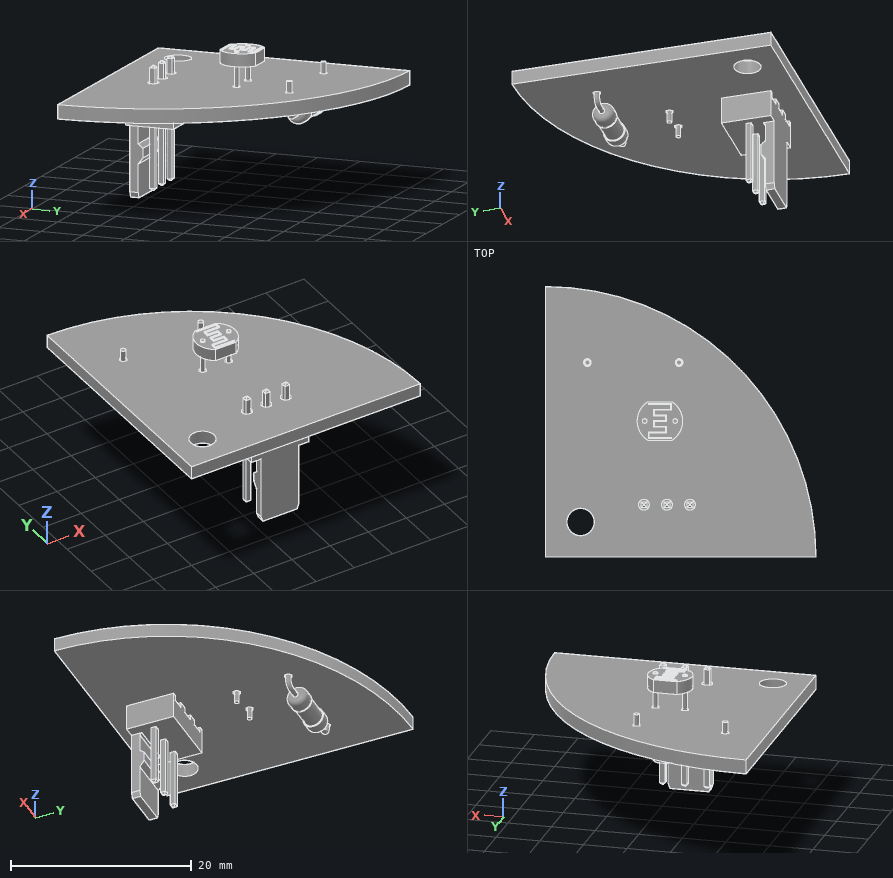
import cadquery as cq
import math

board_radius = 30.0
board_thickness = 1.65
mount_hole_diameter = 3.0
mount_hole_x = 3.9
mount_hole_y = 3.9
lead_hole_diameter = 0.8
pin_hole_diameter = 1.2
lead_overhang = 1.3

sensor_x = 12.7
sensor_y = 15.1
sensor_diameter = 5.05
sensor_width = 4.25
sensor_bottom = 4.08
sensor_height = 1.5
sensor_lead_diameter = 0.5
sensor_lead_spacing = 3.4
sensor_top = sensor_bottom + sensor_height

track_width = 0.1
track_height = 0.12
track_row_pitch = 0.63
track_long_reach = 1.23
track_short_reach = 0.65

resistor_y = 21.57
resistor_left_lead_x = 4.65
resistor_lead_spacing = 10.17
resistor_lead_diameter = 0.6
resistor_bend_radius = 0.85
resistor_length = 6.3
cap_diameter = 2.5
cap_length = 1.62
cap_rounding = 0.6
resistor_middle_diameter = 2.25
resistor_x = resistor_left_lead_x + resistor_lead_spacing / 2
resistor_z = -cap_diameter / 2

header_x = 13.47
header_y = 5.82
header_length = 7.53
header_depth = 5.73
header_height = 3.18
slot_width = 1.45
slot_depth = 0.63
pin_count = 3
pin_pitch = 2.55
pin_width = 0.63
pin_top = 3.6
pin_bottom = -10.6
pin_tip_height = 0.25
pin_tip_width = 0.15
tab_width = 4.95
tab_thickness = 1.02
tab_bottom = -11.7
tab_end_taper_height = 0.65
tab_end_taper_width = 0.25
tab_root_chamfer = 0.25
bump_height = 0.55
bump_base_top = -5.5
bump_crest_top = -5.97
bump_crest_bottom = -7.08
bump_base_bottom = -7.8

sensor_lead_points = [(sensor_x + side * sensor_lead_spacing / 2, sensor_y) for side in (-1, 1)]
resistor_lead_points = [(resistor_x + side * resistor_lead_spacing / 2, resistor_y) for side in (-1, 1)]
pin_points = [(header_x + (i - (pin_count - 1) / 2) * pin_pitch, header_y) for i in range(pin_count)]


def drill(board, points, diameter):
    """Cut round holes through the whole board."""
    holes = cq.Workplane("XY").pushPoints(points).circle(diameter / 2).extrude(board_thickness)
    return board.cut(holes)


def make_board():
    arc_middle = board_radius * math.sqrt(0.5)
    board = (
        cq.Workplane("XY")
        .lineTo(board_radius, 0)
        .threePointArc((arc_middle, arc_middle), (0, board_radius))
        .close()
        .extrude(board_thickness)
    )
    board = drill(board, [(mount_hole_x, mount_hole_y)], mount_hole_diameter)
    board = drill(board, sensor_lead_points + resistor_lead_points, lead_hole_diameter)
    return drill(board, pin_points, pin_hole_diameter)


def make_sensor():
    disc = (
        cq.Workplane("XY", origin=(sensor_x, sensor_y, sensor_bottom))
        .circle(sensor_diameter / 2)
        .extrude(sensor_height)
    )
    flats = cq.Workplane("XY", origin=(sensor_x, sensor_y, sensor_bottom)).box(
        sensor_diameter, sensor_width, sensor_height, centered=(True, True, False)
    )
    lead_tip = sensor_top + track_height
    leads = (
        cq.Workplane("XY", origin=(0, 0, -lead_overhang))
        .pushPoints(sensor_lead_points)
        .circle(sensor_lead_diameter / 2)
        .extrude(lead_tip + lead_overhang)
    )
    return disc.intersect(flats).union(leads)


def track_segment(x_start, y_start, x_end, y_end):
    """A straight strip between two points, reaching half a track width past each of them."""
    return cq.Workplane(
        "XY",
        origin=(sensor_x + (x_start + x_end) / 2, sensor_y + (y_start + y_end) / 2, sensor_top),
    ).box(
        abs(x_end - x_start) + track_width,
        abs(y_end - y_start) + track_width,
        track_height,
        centered=(True, True, False),
    )


def make_track():
    turns = [
        -track_long_reach,
        track_long_reach,
        -track_short_reach,
        track_short_reach,
        -track_short_reach,
        track_short_reach,
        -track_long_reach,
        track_long_reach,
    ]
    row_count = len(turns) - 1
    first_row_y = (row_count - 1) / 2 * track_row_pitch
    track = cq.Workplane("XY")
    for row in range(row_count):
        row_y = first_row_y - row * track_row_pitch
        track = track.union(track_segment(turns[row], row_y, turns[row + 1], row_y))
        if row < row_count - 1:
            next_row_y = row_y - track_row_pitch
            track = track.union(track_segment(turns[row + 1], row_y, turns[row + 1], next_row_y))
    return track


def rod_along_x(x_start, length, diameter):
    """A round rod on the resistor's axis."""
    return cq.Workplane("YZ", origin=(x_start, resistor_y, resistor_z)).circle(diameter / 2).extrude(length)


def make_resistor():
    left_end = resistor_x - resistor_length / 2
    right_end = resistor_x + resistor_length / 2
    middle = rod_along_x(left_end + cap_length, resistor_length - 2 * cap_length, resistor_middle_diameter)
    left_cap = rod_along_x(left_end, cap_length, cap_diameter).faces("<X").edges().fillet(cap_rounding)
    right_cap = rod_along_x(right_end, -cap_length, cap_diameter).faces(">X").edges().fillet(cap_rounding)

    left_x = resistor_left_lead_x
    right_x = left_x + resistor_lead_spacing
    lead_top = board_thickness + lead_overhang
    bend = resistor_bend_radius
    bend_inset = bend * (1 - math.sqrt(0.5))
    wire_path = (
        cq.Workplane("XZ", origin=(0, resistor_y, 0))
        .moveTo(left_x, lead_top)
        .lineTo(left_x, resistor_z + bend)
        .threePointArc((left_x + bend_inset, resistor_z + bend_inset), (left_x + bend, resistor_z))
        .lineTo(right_x - bend, resistor_z)
        .threePointArc((right_x - bend_inset, resistor_z + bend_inset), (right_x, resistor_z + bend))
        .lineTo(right_x, lead_top)
    )
    wire = (
        cq.Workplane("XY", origin=(left_x, resistor_y, lead_top))
        .circle(resistor_lead_diameter / 2)
        .sweep(wire_path)
    )
    return middle.union(left_cap).union(right_cap).union(wire)


def make_pin(x, y):
    """A square pin whose two ends taper to small flat tips."""
    shaft_bottom = pin_bottom + pin_tip_height
    shaft_top = pin_top - pin_tip_height
    pin = cq.Workplane("XY", origin=(x, y, shaft_bottom)).rect(pin_width, pin_width).extrude(
        shaft_top - shaft_bottom
    )
    for face_z, direction in ((shaft_top, 1), (shaft_bottom, -1)):
        tip = (
            cq.Workplane("XY", origin=(x, y, face_z))
            .rect(pin_width, pin_width)
            .workplane(offset=direction * pin_tip_height)
            .rect(pin_tip_width, pin_tip_width)
            .loft()
        )
        pin = pin.union(tip)
    return pin


def make_latch_tab():
    """The tab below the block, with a latch bump facing the pins and a tapered lower end."""
    front_y = header_y - header_depth / 2
    inner_y = front_y + tab_thickness
    crest_y = inner_y + bump_height
    side_profile = [
        (front_y, tab_bottom),
        (inner_y, tab_bottom),
        (inner_y, bump_base_bottom),
        (crest_y, bump_crest_bottom),
        (crest_y, bump_crest_top),
        (inner_y, bump_base_top),
        (inner_y, -header_height - tab_root_chamfer),
        (inner_y + tab_root_chamfer, -header_height),
        (front_y, -header_height),
    ]
    tab = (
        cq.Workplane("YZ", origin=(header_x, 0, 0))
        .polyline(side_profile)
        .close()
        .extrude(tab_width / 2, both=True)
    )
    half_width = tab_width / 2
    half_end_width = half_width - tab_end_taper_width
    front_outline = [
        (-half_end_width, tab_bottom),
        (half_end_width, tab_bottom),
        (half_width, tab_bottom + tab_end_taper_height),
        (half_width, -header_height),
        (-half_width, -header_height),
        (-half_width, tab_bottom + tab_end_taper_height),
    ]
    outline_block = (
        cq.Workplane("XZ", origin=(header_x, front_y, 0))
        .polyline(front_outline)
        .close()
        .extrude(-header_depth)
    )
    return tab.intersect(outline_block)


def make_header():
    header = cq.Workplane("XY", origin=(header_x, header_y, -header_height)).box(
        header_length, header_depth, header_height, centered=(True, True, False)
    )
    slots = (
        cq.Workplane("XY")
        .pushPoints(pin_points)
        .rect(slot_width, header_depth)
        .extrude(-slot_depth)
    )
    header = header.cut(slots).union(make_latch_tab())
    for x, y in pin_points:
        header = header.union(make_pin(x, y))
    return header


board = make_board()
sensor = make_sensor()
track = make_track()
resistor = make_resistor()
header = make_header()

result = cq.Compound.makeCompound(
    [board.val(), sensor.val(), track.val(), resistor.val(), header.val()]
)